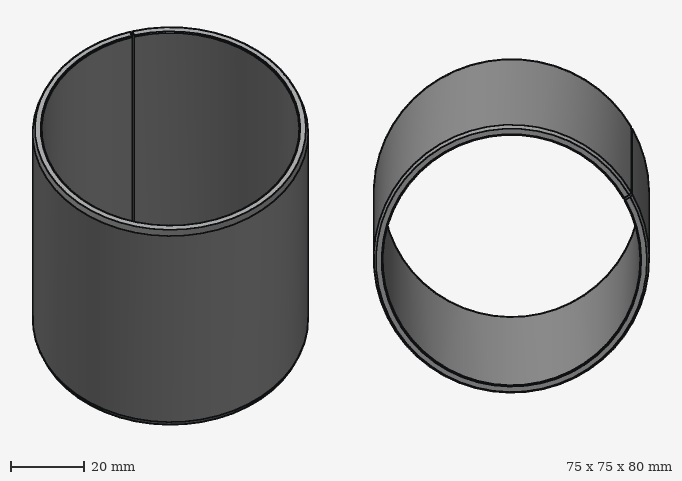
import cadquery as cq

length = 80.0
outer_diameter = 75.0
wall = 2.5
outer_chamfer_height = 1.8
outer_chamfer_depth = 0.6
inner_chamfer = 0.3
full_turn = 360
slit_angle = 1.0

outer_radius = outer_diameter / 2
inner_radius = outer_radius - wall
half_length = length / 2


def wall_section():
    """Section of the wall on the -X side, chamfered at both ends."""
    return (
        cq.Workplane("XZ")
        .moveTo(-inner_radius, -half_length + inner_chamfer)
        .lineTo(-inner_radius - inner_chamfer, -half_length)
        .lineTo(-outer_radius + outer_chamfer_depth, -half_length)
        .lineTo(-outer_radius, -half_length + outer_chamfer_height)
        .lineTo(-outer_radius, half_length - outer_chamfer_height)
        .lineTo(-outer_radius + outer_chamfer_depth, half_length)
        .lineTo(-inner_radius - inner_chamfer, half_length)
        .lineTo(-inner_radius, half_length - inner_chamfer)
        .close()
    )


axis_start = (0, 0, 0)
axis_end = (0, 1, 0)
result = wall_section().revolve(full_turn - slit_angle, axis_start, axis_end)